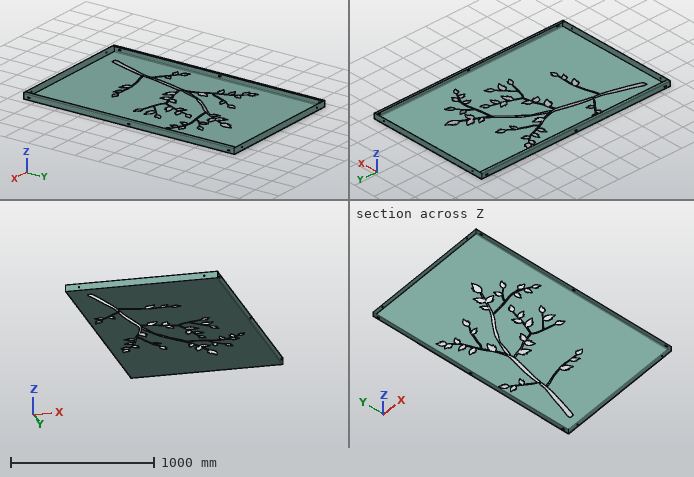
import cadquery as cq
import math

LENGTH = 1800.0
WIDTH = 1100.0
HEIGHT = 50.0
SHEET = 2.0
BEND_RADIUS = 5.0
LIP_WIDTH = 23.0

END_HOLE_DIAMETER = 7.0
END_HOLE_X = 452.0
SLOT_LENGTH = 20.0
SLOT_HEIGHT = 7.0
SLOT_END_Y = 853.0
SLOT_Z = -4.0

SMOOTH_EDGE = [(0.15, 0.7), (0.4, 1.1), (0.7, 0.8)]
TOOTHED_EDGE = [(0.12, 0.8), (0.3, 1.2), (0.42, 1.4), (0.38, 1.0), (0.65, 1.15), (0.57, 0.7)]
LEFT = 1
RIGHT = -1

STEMS = {
    "lower trunk": [
        (-400.0, -801.0, 32.0), (-400.0, -794.0, 36.0), (-382.0, -743.0, 40.0), (-330.0, -580.0, 35.0),
        (-299.0, -477.0, 22.0), (-292.0, -420.0, 20.0),
    ],
    "middle trunk": [
        (-290.0, -409.0, 20.0), (-280.0, -342.0, 25.0), (-266.0, -274.0, 30.0),
        (-247.0, -189.0, 30.0), (-227.0, -100.0, 23.0), (-229.0, -65.0, 13.0),
    ],
    "upper trunk": [
        (-218.0, -72.0, 10.0), (-210.0, -45.0, 22.0), (-185.0, 22.0, 16.0), (-160.0, 80.0, 10.0),
        (-128.0, 126.0, 23.0), (-90.0, 176.0, 18.0), (-45.0, 225.0, 22.0), (0.0, 274.0, 18.0),
        (40.0, 331.0, 13.0), (72.0, 389.0, 10.0), (100.0, 450.0, 10.0), (125.0, 490.0, 7.0),
    ],
    "top right branch": [
        (23.0, 283.0, 10.0), (72.0, 286.0, 10.0), (117.0, 292.0, 10.0), (180.0, 302.0, 9.0),
        (252.0, 313.0, 9.0), (297.0, 306.0, 7.0), (350.0, 280.0, 7.0), (403.0, 252.0, 4.0),
    ],
    "top right twig": [(165.0, 306.0, 4.0), (180.0, 331.0, 7.0), (216.0, 367.0, 4.0), (265.0, 401.0, 4.0)],
    "top right leaf stalk": [(279.0, 311.0, 4.0), (324.0, 311.0, 4.0)],
    "top left branch": [
        (-229.0, -67.0, 13.0), (-243.0, -9.0, 13.0), (-265.0, 45.0, 10.0), (-293.0, 95.0, 10.0),
        (-330.0, 180.0, 9.0), (-347.0, 230.0, 9.0), (-367.0, 272.0, 7.0), (-392.0, 299.0, 7.0),
        (-427.0, 337.0, 4.0),
    ],
    "top left twig": [
        (-299.0, 125.0, 7.0), (-275.0, 150.0, 9.0), (-265.0, 184.0, 9.0), (-241.0, 235.0, 9.0),
        (-223.0, 280.0, 7.0), (-198.0, 313.0, 4.0), (-185.0, 340.0, 4.0),
    ],
    "middle branch": [
        (-212.0, -113.0, 13.0), (-171.0, -100.0, 13.0), (-117.0, -90.0, 10.0), (-77.0, -72.0, 9.0),
        (-45.0, -60.0, 10.0), (0.0, -52.0, 10.0), (43.0, -41.0, 7.0),
    ],
    "middle branch rising fork": [
        (41.0, -43.0, 7.0), (52.0, -20.0, 7.0), (63.0, 4.0, 9.0), (83.0, 52.0, 9.0),
        (95.0, 90.0, 9.0), (110.0, 140.0, 7.0), (115.0, 165.0, 4.0), (128.0, 202.0, 4.0),
    ],
    "middle branch falling fork": [
        (41.0, -41.0, 7.0), (61.0, -61.0, 7.0), (105.0, -80.0, 7.0), (153.0, -94.0, 7.0),
        (189.0, -103.0, 7.0), (230.0, -113.0, 4.0),
    ],
    "middle branch twig": [(126.0, -85.0, 7.0), (162.0, -52.0, 4.0), (216.0, -2.0, 4.0), (255.0, 32.0, 4.0)],
    "lower left branch": [
        (-305.0, -398.0, 4.0), (-351.0, -364.0, 9.0), (-378.0, -340.0, 7.0), (-421.0, -305.0, 7.0),
        (-463.0, -270.0, 4.0),
    ],
    "lower right branch": [
        (-277.0, -470.0, 13.0), (-234.0, -459.0, 10.0), (-180.0, -441.0, 9.0), (-117.0, -428.0, 9.0),
        (-54.0, -420.0, 7.0), (18.0, -423.0, 7.0), (94.0, -425.0, 4.0),
    ],
}

LEAVES = [
    ((-421.0, 331.0), (-468.0, 389.0), 40.0, RIGHT),
    ((-400.0, 306.0), (-468.0, 313.0), 35.0, LEFT),
    ((-370.0, 270.0), (-337.0, 325.0), 35.0, RIGHT),
    ((-344.0, 229.0), (-420.0, 225.0), 32.0, LEFT),
    ((-322.0, 160.0), (-400.0, 139.0), 36.0, LEFT),
    ((-189.0, 335.0), (-158.0, 405.0), 38.0, RIGHT),
    ((-230.0, 263.0), (-164.0, 277.0), 29.0, RIGHT),
    ((-257.0, 29.0), (-232.0, 120.0), 45.0, RIGHT),
    ((125.0, 486.0), (151.0, 598.0), 50.0, LEFT),
    ((80.0, 403.0), (40.0, 486.0), 41.0, LEFT),
    ((75.0, 395.0), (158.0, 400.0), 41.0, RIGHT),
    ((43.0, 337.0), (9.0, 400.0), 30.0, LEFT),
    ((203.0, 356.0), (182.0, 423.0), 32.0, LEFT),
    ((261.0, 396.0), (306.0, 455.0), 32.0, RIGHT),
    ((274.0, 310.0), (268.0, 238.0), 30.0, LEFT),
    ((320.0, 311.0), (387.0, 313.0), 36.0, LEFT),
    ((351.0, 279.0), (355.0, 215.0), 32.0, RIGHT),
    ((400.0, 255.0), (450.0, 216.0), 29.0, RIGHT),
    ((125.0, 195.0), (164.0, 252.0), 35.0, LEFT),
    ((105.0, 122.0), (178.0, 140.0), 35.0, RIGHT),
    ((92.0, 75.0), (58.0, 148.0), 36.0, LEFT),
    ((72.0, 22.0), (165.0, 49.0), 41.0, RIGHT),
    ((-41.0, -61.0), (-4.0, 10.0), 36.0, LEFT),
    ((-60.0, -68.0), (-15.0, -133.0), 43.0, LEFT),
    ((-164.0, -99.0), (-83.0, -158.0), 45.0, RIGHT),
    ((200.0, -16.0), (293.0, -52.0), 43.0, RIGHT),
    ((252.0, 29.0), (299.0, 85.0), 35.0, RIGHT),
    ((225.0, -112.0), (292.0, -144.0), 35.0, LEFT),
    ((-457.0, -274.0), (-510.0, -220.0), 36.0, RIGHT),
    ((-425.0, -302.0), (-491.0, -319.0), 30.0, LEFT),
    ((-383.0, -337.0), (-351.0, -280.0), 30.0, RIGHT),
    ((-92.0, -425.0), (-15.0, -485.0), 41.0, RIGHT),
    ((18.0, -425.0), (77.0, -468.0), 29.0, RIGHT),
    ((90.0, -423.0), (158.0, -418.0), 35.0, LEFT),
]

half_height = HEIGHT / 2
inner_radius = BEND_RADIUS - SHEET


def long_box(width, height, bend):
    """Full-length bar along Y with its four long edges rounded."""
    return cq.Workplane("XY").box(width, LENGTH, height).edges("|Y").fillet(bend)


def channel_cavity():
    """Full-length space enclosed by the folded sheet, below the lips."""
    return long_box(WIDTH - 2 * SHEET, HEIGHT - 2 * SHEET, inner_radius)


def lip_gap():
    """Full-length opening between the two lips."""
    gap_width = WIDTH - 2 * LIP_WIDTH
    return cq.Workplane("XY").box(gap_width, LENGTH, half_height, centered=(True, True, False))


def channel():
    """Floor, long side walls and inward lips, folded from one sheet."""
    return long_box(WIDTH, HEIGHT, BEND_RADIUS).cut(channel_cavity()).cut(lip_gap())


def end_walls():
    """Short upright plates that close the channel flush with both ends."""
    space_between = cq.Workplane("XY").box(WIDTH, LENGTH - 2 * SHEET, HEIGHT)
    return channel_cavity().union(lip_gap()).cut(space_between)


def cutter(sketch):
    """Turn a closed outline at z = 0 into a tool that passes through the floor only."""
    return sketch.extrude(half_height, both=True).translate((0, 0, -half_height))


def stem(points):
    """Slit that follows a centreline with a varying width."""
    left_edge = []
    right_edge = []
    last = len(points) - 1
    for i, (x, y, width) in enumerate(points):
        before = points[max(i - 1, 0)]
        after = points[min(i + 1, last)]
        heading = math.atan2(after[1] - before[1], after[0] - before[0])
        dx = -math.sin(heading) * width / 2
        dy = math.cos(heading) * width / 2
        left_edge.append((x + dx, y + dy))
        right_edge.append((x - dx, y - dy))
    right_edge.reverse()
    outline = (
        cq.Workplane("XY")
        .moveTo(*left_edge[0])
        .spline(left_edge[1:], includeCurrent=True)
        .lineTo(*right_edge[0])
        .spline(right_edge[1:], includeCurrent=True)
        .close()
    )
    return cutter(outline)


def leaf(base, tip, width, toothed_side):
    """Pointed leaf with one smooth edge and one edge with two teeth."""
    along_x = tip[0] - base[0]
    along_y = tip[1] - base[1]
    length = math.hypot(along_x, along_y)
    across_x = -along_y / length * width / 2
    across_y = along_x / length * width / 2

    def place(fractions, side):
        along, across = fractions
        x = base[0] + along * along_x + side * across * across_x
        y = base[1] + along * along_y + side * across * across_y
        return (x, y)

    smooth = [place(p, -toothed_side) for p in SMOOTH_EDGE]
    toothed = [place(p, toothed_side) for p in reversed(TOOTHED_EDGE)]
    outline = (
        cq.Workplane("XY")
        .moveTo(*base)
        .spline(smooth + [tip], includeCurrent=True)
    )
    for point in toothed:
        outline = outline.lineTo(*point)
    return cutter(outline.close())


def end_holes():
    """Round holes through both short walls."""
    return (
        cq.Workplane("XZ")
        .pushPoints([(-END_HOLE_X, 0), (END_HOLE_X, 0)])
        .circle(END_HOLE_DIAMETER / 2)
        .extrude(LENGTH, both=True)
    )


def side_slots():
    """Slots through both long walls, at the ends and in the middle."""
    return (
        cq.Workplane("YZ")
        .pushPoints([(-SLOT_END_Y, SLOT_Z), (0, SLOT_Z), (SLOT_END_Y, SLOT_Z)])
        .slot2D(SLOT_LENGTH, SLOT_HEIGHT)
        .extrude(WIDTH, both=True)
    )


panel = channel().cut(side_slots())
for stem_points in STEMS.values():
    panel = panel.cut(stem(stem_points))
for leaf_data in LEAVES:
    panel = panel.cut(leaf(*leaf_data))

result = panel.union(end_walls().cut(end_holes()), clean=False)